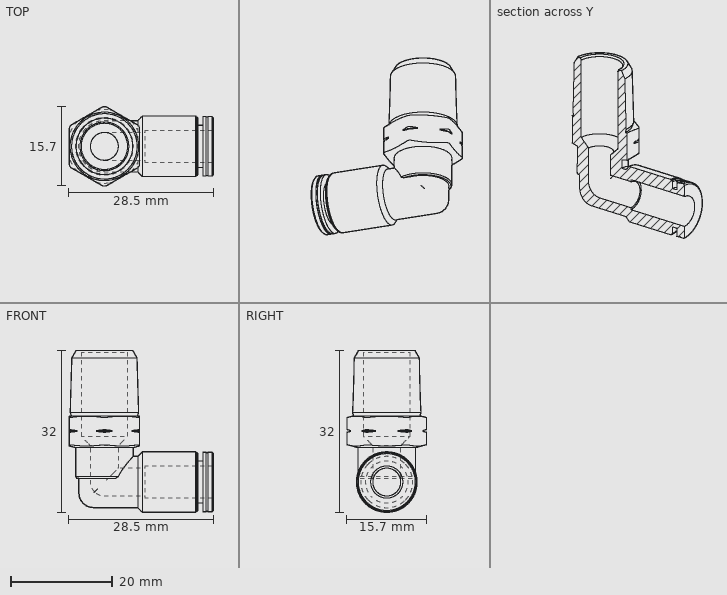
import cadquery as cq
import math


ELBOW_RADIUS = 10.2 / 2
HEEL_RADIUS = 3.0
HEEL_CENTER = HEEL_RADIUS - ELBOW_RADIUS

STEM_TOP = 26.0
COLLAR_RADIUS = 11.4 / 2
COLLAR_BOTTOM = 0.75
COLLAR_CHAMFER_HEIGHT = 0.3
COLLAR_CHAMFER_WIDTH = 0.2
HEX_BOTTOM = 6.8
HEX_TOP = 13.0
HEX_SIDES = 6
HEX_ACROSS_FLATS = 13.9
HEX_EDGE_FILLET = 1.0
HEX_CORNER_RADIUS = HEX_ACROSS_FLATS / 2 / math.cos(math.pi / HEX_SIDES)
HEX_CHAMFER_ANGLE = 15.0
HEX_LOWER_FACE_RADIUS = 5.8
HEX_UPPER_FACE_RADIUS = 6.9
NOTCH_Z = 10.08
NOTCH_FLOOR_RADIUS = 7.3
NOTCH_FLOOR_WIDTH = 0.2
NOTCH_MOUTH_WIDTH = 0.6
THREAD_BOTTOM = 13.73
THREAD_BOTTOM_RADIUS = 13.55 / 2
THREAD_ROOT_RADIUS = 13.1 / 2
THREAD_TOP_CHAMFER_HEIGHT = 1.5
THREAD_TOP_CHAMFER_ANGLE = 30.0
THREAD_TOP_RADIUS = 12.92 / 2

OUTLET_END = 21.5
SOCKET_RADIUS = 12.0 / 2
SOCKET_START = 6.6
SOCKET_END = 18.1
SOCKET_EDGE = 0.1
SLEEVE_RADIUS = 11.6 / 2
SLEEVE_END = 18.48
SLEEVE_CHAMFER = 0.2
NECK_RADIUS = 8.35 / 2
RING_RADIUS = 11.8 / 2
RING_START = 19.44
RING_GROOVE_START = 20.1
RING_GROOVE_END = 20.4
RING_GROOVE_RADIUS = 11.6 / 2
RING_CHAMFER = 0.28

PASSAGE_RADIUS = 5.5 / 2
STEM_BORE_RADIUS = 9.14 / 2
STEM_BORE_MOUTH_CHAMFER_WIDTH = 0.25
STEM_BORE_MOUTH_CHAMFER_HEIGHT = 0.43
STEM_BORE_BOTTOM = 9.0
STEM_BORE_CONE_ANGLE = 45.0
TUBE_BORE_RADIUS = 6.35 / 2
TUBE_BORE_START = 8.0


def tan_deg(angle):
    return math.tan(math.radians(angle))


def turned_about_z(profile):
    """Revolve a closed (radius, z) outline about Z."""
    return cq.Workplane("XZ").polyline(profile).close().revolve(360, (0, 0), (0, 1))


def turned_about_x(profile):
    """Revolve a closed (x, radius) outline about X."""
    return cq.Workplane("XZ").polyline(profile).close().revolve(360, (0, 0), (1, 0))


def elbow_limb_upright():
    """Upright limb, cut on the mitre plane x = z and above the heel bend."""
    top = HEX_BOTTOM
    limb = cq.Workplane("XY").workplane(offset=HEEL_CENTER).circle(ELBOW_RADIUS).extrude(top - HEEL_CENTER)
    keep = (
        cq.Workplane("XZ")
        .polyline(
            [
                (-2 * ELBOW_RADIUS, HEEL_CENTER),
                (HEEL_CENTER, HEEL_CENTER),
                (top, top),
                (-2 * ELBOW_RADIUS, top),
            ]
        )
        .close()
        .extrude(2 * ELBOW_RADIUS, both=True)
    )
    return limb.intersect(keep)


def elbow_limb_outlet():
    """Outlet limb, cut on the same mitre plane and outside the heel bend."""
    end = SOCKET_START
    limb = cq.Workplane("YZ").workplane(offset=HEEL_CENTER).circle(ELBOW_RADIUS).extrude(end - HEEL_CENTER)
    keep = (
        cq.Workplane("XZ")
        .polyline(
            [
                (HEEL_CENTER, -2 * ELBOW_RADIUS),
                (HEEL_CENTER, HEEL_CENTER),
                (end, end),
                (end, -2 * ELBOW_RADIUS),
            ]
        )
        .close()
        .extrude(2 * ELBOW_RADIUS, both=True)
    )
    return limb.intersect(keep)


def elbow_heel():
    """Rounded heel: the segment of the limb circle beyond the bend axis, swept a quarter turn."""
    half_chord = math.sqrt(ELBOW_RADIUS**2 - HEEL_CENTER**2)
    return (
        cq.Workplane("XY")
        .workplane(offset=HEEL_CENTER)
        .moveTo(HEEL_CENTER, half_chord)
        .threePointArc((-ELBOW_RADIUS, 0), (HEEL_CENTER, -half_chord))
        .close()
        .revolve(90, (HEEL_CENTER, 1), (HEEL_CENTER, 0))
    )


def stem_collar():
    chamfer_radius = COLLAR_RADIUS - COLLAR_CHAMFER_WIDTH
    return turned_about_z(
        [
            (0, COLLAR_BOTTOM),
            (chamfer_radius, COLLAR_BOTTOM),
            (COLLAR_RADIUS, COLLAR_BOTTOM + COLLAR_CHAMFER_HEIGHT),
            (COLLAR_RADIUS, HEX_BOTTOM),
            (0, HEX_BOTTOM),
        ]
    )


def hexagon():
    """Hexagon with corners on -Y and +Y, rounded edges, chamfered ends and a notch across each corner."""
    corner_angles = [math.pi / 2 + 2 * math.pi * i / HEX_SIDES for i in range(HEX_SIDES)]
    corners = [
        (HEX_CORNER_RADIUS * math.cos(angle), HEX_CORNER_RADIUS * math.sin(angle))
        for angle in corner_angles
    ]
    hex_prism = (
        cq.Workplane("XY")
        .workplane(offset=HEX_BOTTOM)
        .polyline(corners)
        .close()
        .extrude(HEX_TOP - HEX_BOTTOM)
        .edges("|Z")
        .fillet(HEX_EDGE_FILLET)
    )
    slope = tan_deg(HEX_CHAMFER_ANGLE)
    lower_rise = (HEX_CORNER_RADIUS - HEX_LOWER_FACE_RADIUS) * slope
    upper_drop = (HEX_CORNER_RADIUS - HEX_UPPER_FACE_RADIUS) * slope
    envelope = turned_about_z(
        [
            (0, HEX_BOTTOM),
            (HEX_LOWER_FACE_RADIUS, HEX_BOTTOM),
            (HEX_CORNER_RADIUS, HEX_BOTTOM + lower_rise),
            (HEX_CORNER_RADIUS, NOTCH_Z - NOTCH_MOUTH_WIDTH / 2),
            (NOTCH_FLOOR_RADIUS, NOTCH_Z - NOTCH_FLOOR_WIDTH / 2),
            (NOTCH_FLOOR_RADIUS, NOTCH_Z + NOTCH_FLOOR_WIDTH / 2),
            (HEX_CORNER_RADIUS, NOTCH_Z + NOTCH_MOUTH_WIDTH / 2),
            (HEX_CORNER_RADIUS, HEX_TOP - upper_drop),
            (HEX_UPPER_FACE_RADIUS, HEX_TOP),
            (0, HEX_TOP),
        ]
    )
    return hex_prism.intersect(envelope)


def thread_blank():
    """Tapered male thread envelope, relieved at the root and chamfered at the mouth."""
    top_face_radius = THREAD_TOP_RADIUS - THREAD_TOP_CHAMFER_HEIGHT * tan_deg(THREAD_TOP_CHAMFER_ANGLE)
    return turned_about_z(
        [
            (0, HEX_TOP),
            (THREAD_ROOT_RADIUS, HEX_TOP),
            (THREAD_BOTTOM_RADIUS, THREAD_BOTTOM),
            (THREAD_TOP_RADIUS, STEM_TOP - THREAD_TOP_CHAMFER_HEIGHT),
            (top_face_radius, STEM_TOP),
            (0, STEM_TOP),
        ]
    )


def tube_outlet():
    """Socket body, sleeve, neck and release ring, turned about X."""
    cone_end = SOCKET_START + SOCKET_RADIUS - ELBOW_RADIUS
    return turned_about_x(
        [
            (SOCKET_START, 0),
            (SOCKET_START, ELBOW_RADIUS),
            (cone_end, SOCKET_RADIUS),
            (SOCKET_END - SOCKET_EDGE, SOCKET_RADIUS),
            (SOCKET_END, SOCKET_RADIUS - SOCKET_EDGE),
            (SOCKET_END, SLEEVE_RADIUS),
            (SLEEVE_END - SLEEVE_CHAMFER, SLEEVE_RADIUS),
            (SLEEVE_END, SLEEVE_RADIUS - SLEEVE_CHAMFER),
            (SLEEVE_END, NECK_RADIUS),
            (RING_START, NECK_RADIUS),
            (RING_START, RING_RADIUS),
            (RING_GROOVE_START, RING_RADIUS),
            (RING_GROOVE_START, RING_GROOVE_RADIUS),
            (RING_GROOVE_END, RING_GROOVE_RADIUS),
            (RING_GROOVE_END, RING_RADIUS),
            (OUTLET_END - RING_CHAMFER, RING_RADIUS),
            (OUTLET_END, RING_RADIUS - RING_CHAMFER),
            (OUTLET_END, 0),
        ]
    )


def stem_bore():
    """Wide bore from the thread mouth, coned down to the flow passage."""
    cone_bottom = STEM_BORE_BOTTOM - (STEM_BORE_RADIUS - PASSAGE_RADIUS) / tan_deg(STEM_BORE_CONE_ANGLE)
    return turned_about_z(
        [
            (0, 0),
            (PASSAGE_RADIUS, 0),
            (PASSAGE_RADIUS, cone_bottom),
            (STEM_BORE_RADIUS, STEM_BORE_BOTTOM),
            (STEM_BORE_RADIUS, STEM_TOP - STEM_BORE_MOUTH_CHAMFER_HEIGHT),
            (STEM_BORE_RADIUS + STEM_BORE_MOUTH_CHAMFER_WIDTH, STEM_TOP),
            (0, STEM_TOP),
        ]
    )


def outlet_bore():
    """Flow passage and tube bore along X."""
    return turned_about_x(
        [
            (0, 0),
            (0, PASSAGE_RADIUS),
            (TUBE_BORE_START, PASSAGE_RADIUS),
            (TUBE_BORE_START, TUBE_BORE_RADIUS),
            (OUTLET_END, TUBE_BORE_RADIUS),
            (OUTLET_END, 0),
        ]
    )


outer = elbow_heel()
for section in (
    elbow_limb_upright(),
    elbow_limb_outlet(),
    stem_collar(),
    hexagon(),
    thread_blank(),
    tube_outlet(),
):
    outer = outer.union(section)

passage_turn = cq.Workplane("XY").sphere(PASSAGE_RADIUS)
result = outer.cut(stem_bore()).cut(outlet_bore()).cut(passage_turn)